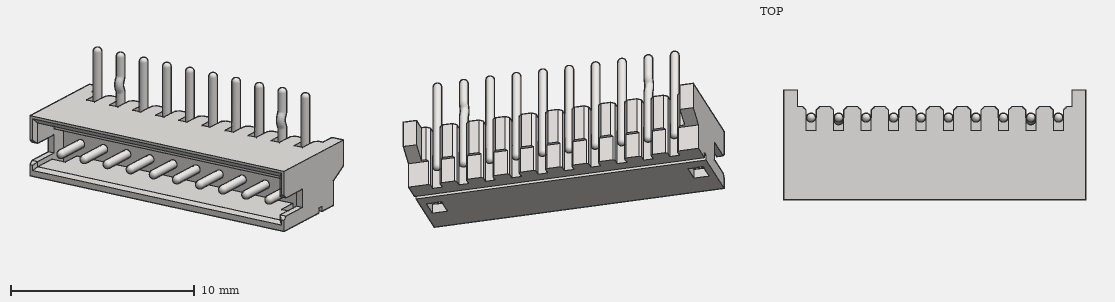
import cadquery as cq
import math


length = 16.5
depth = 6.0
body_height = 3.5

foot_depth = 5.0
foot_top = 1.44
slope_top = 2.0
ear_width = 0.76
web_depth = 5.1

groove_front = 3.53
groove_size = 0.3

side_wall = 0.38
floor_thickness = 0.55
ceiling_z = 3.09
cavity_depth = 2.8
step_z = 2.25
mouth_lead = 0.2
mouth_lead_top = 0.26

side_slot_depth = 1.85
side_slot_bottom = 0.84
side_slot_top = 1.9
window_front = 1.65
window_inner_x = 1.24

pin_count = 10
pitch = length / (pin_count + 1)
pin_radius = 0.25
mating_tip_y = 0.6
mating_z = 1.3
tail_y = 4.49
tail_tip_z = 6.4
kinked_pins = (1, pin_count - 2)

kink_height = 1.05
kink_z = body_height + kink_height
kink_offset = 0.15
kink_half_length = 0.53
crest_half_length = 0.28

tail_slot_width = 0.55
tail_slot_front = 3.78
tail_slot_floor = slope_top
tail_slot_lead = 0.2

pin_positions = [pitch * (i + 1) for i in range(pin_count)]


def block(x0, x1, y0, y1, z0, z1):
    """Box between two opposite corners."""
    return cq.Workplane("XY").box(x1 - x0, y1 - y0, z1 - z0, centered=False).translate((x0, y0, z0))


def along_x(points):
    """Extrude a (y, z) outline over the full length."""
    return cq.Workplane("YZ").polyline(points).close().extrude(length)


def housing_blank():
    profile = along_x([
        (0, 0),
        (foot_depth, 0),
        (foot_depth, foot_top),
        (depth, slope_top),
        (depth, body_height),
        (0, body_height),
    ])
    between_ears = block(ear_width, length - ear_width, web_depth, depth, 0, body_height)
    groove = block(0, length, groove_front, groove_front + groove_size, 0, groove_size)
    return profile.cut(between_ears).cut(groove)


def cavity():
    """Stepped pocket: the lower part is deeper than the part above the contacts."""
    right_wall = length - side_wall
    lower = block(side_wall, right_wall, 0, cavity_depth, floor_thickness, step_z)
    upper = block(side_wall, right_wall, 0, side_slot_depth, step_z, ceiling_z)
    return lower.union(upper)


def cavity_lead_in():
    """Tapered mouth, widest at the front face."""
    inner_width = length - 2 * side_wall
    inner_height = ceiling_z - floor_thickness
    inner_mid_z = (ceiling_z + floor_thickness) / 2
    outer_mid_z = inner_mid_z + (mouth_lead_top - mouth_lead) / 2
    return (
        cq.Workplane("XZ", origin=(length / 2, 0, outer_mid_z))
        .rect(inner_width + 2 * mouth_lead, inner_height + mouth_lead + mouth_lead_top)
        .workplane(offset=-mouth_lead)
        .center(0, inner_mid_z - outer_mid_z)
        .rect(inner_width, inner_height)
        .loft(ruled=True)
    )


def side_slots():
    """Slot through both side walls, flared at the front face."""
    return along_x([
        (0, side_slot_bottom - mouth_lead),
        (mouth_lead, side_slot_bottom),
        (side_slot_depth, side_slot_bottom),
        (side_slot_depth, side_slot_top),
        (mouth_lead, side_slot_top),
        (0, side_slot_top + mouth_lead),
    ])


def floor_windows():
    """Openings through the cavity floor beside each side wall."""
    left = block(side_wall, window_inner_x, window_front, cavity_depth, 0, floor_thickness)
    return left.union(left.mirror("YZ", (length / 2, 0, 0)))


def tail_slot(x):
    """Slot open to the back: a ledge ahead of the tail axis and full height behind it."""
    half = tail_slot_width / 2
    ledge_part = block(x - half, x + half, tail_slot_front, tail_y, tail_slot_floor, body_height)
    open_part = (
        cq.Workplane("XY")
        .moveTo(x - half, tail_y)
        .lineTo(x + half, tail_y)
        .lineTo(x + half, web_depth - tail_slot_lead)
        .lineTo(x + half + tail_slot_lead, web_depth)
        .lineTo(x - half - tail_slot_lead, web_depth)
        .lineTo(x - half, web_depth - tail_slot_lead)
        .close()
        .extrude(body_height)
    )
    return ledge_part.union(open_part)


def kinked_path(x, top_z):
    """Tail centreline bowed toward -Y by three tangent arcs."""
    bend = 2 * math.atan(kink_offset / kink_half_length)
    crest_radius = crest_half_length / math.sin(bend)
    flank_radius = (kink_half_length - crest_half_length) / math.sin(bend)
    crest_y = -kink_offset
    junction_y = crest_y + crest_radius * (1 - math.cos(bend))
    flank_mid_y = -flank_radius * (1 - math.cos(bend / 2))
    flank_mid_z = kink_half_length - flank_radius * math.sin(bend / 2)
    kink_centre = kink_z - mating_z
    return (
        cq.Workplane("YZ", origin=(x, tail_y, mating_z))
        .lineTo(0, kink_centre - kink_half_length)
        .threePointArc(
            (flank_mid_y, kink_centre - flank_mid_z),
            (junction_y, kink_centre - crest_half_length),
        )
        .threePointArc((crest_y, kink_centre), (junction_y, kink_centre + crest_half_length))
        .threePointArc(
            (flank_mid_y, kink_centre + flank_mid_z),
            (0, kink_centre + kink_half_length),
        )
        .lineTo(0, top_z - mating_z)
    )


def contact(x, kinked):
    """Right-angle round pin with domed ends."""
    mating_end_y = mating_tip_y + pin_radius
    tail_end_z = tail_tip_z - pin_radius
    dome = cq.Workplane("XY").sphere(pin_radius)
    tail_section = cq.Workplane("XY", origin=(x, tail_y, mating_z)).circle(pin_radius)
    if kinked:
        tail = tail_section.sweep(kinked_path(x, tail_end_z))
    else:
        tail = tail_section.extrude(tail_end_z - mating_z)
    mating = (
        cq.Workplane("XZ", origin=(x, tail_y, mating_z))
        .circle(pin_radius)
        .extrude(tail_y - mating_end_y)
    )
    pin = tail.union(mating)
    for y, z in ((tail_y, mating_z), (mating_end_y, mating_z), (tail_y, tail_end_z)):
        pin = pin.union(dome.translate((x, y, z)))
    return pin


result = housing_blank()
for cutter in (cavity(), cavity_lead_in(), side_slots(), floor_windows()):
    result = result.cut(cutter)
for slot_x in pin_positions:
    result = result.cut(tail_slot(slot_x))
for index, pin_x in enumerate(pin_positions):
    result = result.union(contact(pin_x, index in kinked_pins))